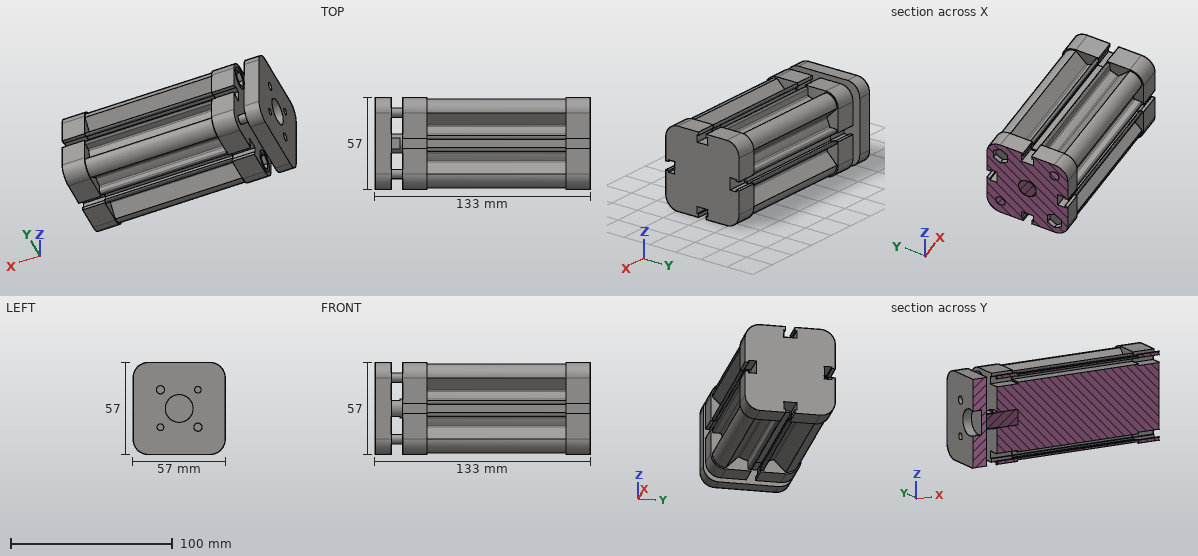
import cadquery as cq
import math

LENGTH = 133.0
WIDTH = 57.0
CORNER_RADIUS = 9.6
PLATE_THICKNESS = 10.1
CAP_LENGTH = 15.0
PLATE_GAP = 6.9
FRONT_CAP_X = PLATE_THICKNESS + PLATE_GAP
PROFILE_X = FRONT_CAP_X + CAP_LENGTH
REAR_CAP_X = LENGTH - CAP_LENGTH
PROFILE_LENGTH = REAR_CAP_X - PROFILE_X
CORNER_CENTRE = WIDTH / 2 - CORNER_RADIUS

PLATE_BORE_DIAMETER = 17.2
PLATE_BORE_DEPTH = 6.1
PLATE_HOLE_OFFSET = 11.6
LARGE_HOLE_DIAMETER = 5.0
SMALL_HOLE_DIAMETER = 4.1

ROD_LENGTH = PROFILE_X - PLATE_THICKNESS
PISTON_ROD_DIAMETER = 12.0
FLAT_WIDTH = 10.0
FLAT_LENGTH = 5.2
GUIDE_ROD_DIAMETER = 6.0

PROFILE_WIDTH = 55.0
LOBE_RADIUS = PROFILE_WIDTH / 2 - CORNER_CENTRE
BARREL_RADIUS = 22.5
PROFILE_FILLET = 0.9
RAIL_WIDTH = 10.1
RAIL_MOUTH_WIDTH = 5.2
RAIL_MOUTH_FILLET = 0.5
RAIL_SLOT_WIDTH = 7.3
RAIL_LIP_DEPTH = 1.5
RAIL_SLOT_DEPTH = 5.0

SLOT_MOUTH_WIDTH = 6.0
SLOT_WIDTH = 8.2
SLOT_LIP_DEPTH = 2.3
SLOT_DEPTH = 7.0

SCREW_HEAD_DIAMETER = 14.4
SCREW_HEAD_SINK = 0.1
SOCKET_ACROSS_FLATS = 9.6
SOCKET_DEPTH = 6.1

GUIDE_CORNERS = [(-1, 1), (1, -1)]
SCREW_CORNERS = [(1, 1), (-1, -1)]
SIDE_ANGLES = [0, 90, 180, 270]
AXIS_START = (0, 0, 0)
AXIS_END = (1, 0, 0)
TOLERANCE = 0.01


def section_plane(x):
    """Sketch plane across the cylinder axis: local axes are Y and Z, extrusion runs to +X."""
    return cq.Workplane("YZ", origin=(x, 0, 0))


def at_corners(corners, offset):
    return [(y_sign * offset, z_sign * offset) for y_sign, z_sign in corners]


def around_axis(shape):
    """Copies of one shape on all four sides of the cylinder."""
    copies = [shape.rotate(AXIS_START, AXIS_END, angle) for angle in SIDE_ANGLES]
    group = copies[0]
    for copy in copies[1:]:
        group = group.union(copy)
    return group


def rounded_block(x, length):
    return section_plane(x).rect(WIDTH, WIDTH).extrude(length).edges("|X").fillet(CORNER_RADIUS)


def slab(x, length, width, bottom, top):
    """Block on the +Z side between two heights, centred on Y = 0."""
    middle = (bottom + top) / 2
    return section_plane(x).center(0, middle).rect(width, top - bottom).extrude(length)


def rods(x, length, diameter, points):
    """Cylinders parallel to X, one at each (Y, Z) point."""
    return section_plane(x).pushPoints(points).circle(diameter / 2).extrude(length)


def make_end_plate():
    plate = rounded_block(0, PLATE_THICKNESS)
    bore = rods(0, PLATE_BORE_DEPTH, PLATE_BORE_DIAMETER, [(0, 0)])
    large_points = at_corners(SCREW_CORNERS, PLATE_HOLE_OFFSET)
    large_holes = rods(0, PLATE_THICKNESS, LARGE_HOLE_DIAMETER, large_points)
    small_points = at_corners(GUIDE_CORNERS, PLATE_HOLE_OFFSET)
    small_holes = rods(0, PLATE_THICKNESS, SMALL_HOLE_DIAMETER, small_points)
    return plate.cut(bore).cut(large_holes).cut(small_holes)


def make_lobe():
    """Diagonal strut out to one corner, closed by a quarter-circle end."""
    edge = PROFILE_WIDTH / 2
    arc_middle = CORNER_CENTRE + LOBE_RADIUS * math.sqrt(0.5)
    return (
        section_plane(PROFILE_X)
        .moveTo(0, LOBE_RADIUS)
        .lineTo(CORNER_CENTRE, edge)
        .threePointArc((arc_middle, arc_middle), (edge, CORNER_CENTRE))
        .lineTo(LOBE_RADIUS, 0)
        .close()
        .extrude(PROFILE_LENGTH)
    )


def make_rail():
    """Bar along the +Z side that carries a sensor slot."""
    rail = slab(PROFILE_X, PROFILE_LENGTH, RAIL_WIDTH, 0, PROFILE_WIDTH / 2)
    return rail.edges("|X and >Z").fillet(PROFILE_FILLET)


def t_slot(x, length, top, depth, lip_depth, mouth_width, inner_width):
    """Cutters for the T-slots in all four sides; the lips overhang a wider channel."""
    mouth = slab(x, length, mouth_width, top - depth, top)
    channel = slab(x, length, inner_width, top - depth, top - lip_depth)
    return around_axis(mouth.union(channel))


def lies_on_barrel(edge):
    centre = edge.Center()
    return math.isclose(math.hypot(centre.y, centre.z), BARREL_RADIUS, abs_tol=TOLERANCE)


def lies_on_rail_mouth(edge):
    across, outward = sorted([abs(edge.Center().y), abs(edge.Center().z)])
    on_wall = math.isclose(across, RAIL_MOUTH_WIDTH / 2, abs_tol=TOLERANCE)
    return on_wall and math.isclose(outward, PROFILE_WIDTH / 2, abs_tol=TOLERANCE)


def make_profile():
    profile = section_plane(PROFILE_X).circle(BARREL_RADIUS).extrude(PROFILE_LENGTH)
    profile = profile.union(around_axis(make_lobe())).union(around_axis(make_rail())).clean()
    profile = profile.edges("|X").filter(lies_on_barrel).fillet(PROFILE_FILLET)
    slots = t_slot(
        PROFILE_X,
        PROFILE_LENGTH,
        PROFILE_WIDTH / 2,
        RAIL_SLOT_DEPTH,
        RAIL_LIP_DEPTH,
        RAIL_MOUTH_WIDTH,
        RAIL_SLOT_WIDTH,
    )
    return profile.cut(slots).edges("|X").filter(lies_on_rail_mouth).fillet(RAIL_MOUTH_FILLET)


def make_cap(x):
    slots = t_slot(x, CAP_LENGTH, WIDTH / 2, SLOT_DEPTH, SLOT_LIP_DEPTH, SLOT_MOUTH_WIDTH, SLOT_WIDTH)
    return rounded_block(x, CAP_LENGTH).cut(slots)


def make_screw_recesses():
    """Shallow round seats with a hexagon socket in each; two flats of the hexagon face +-Y."""
    points = at_corners(SCREW_CORNERS, CORNER_CENTRE)
    recesses = rods(FRONT_CAP_X, SCREW_HEAD_SINK, SCREW_HEAD_DIAMETER, points)
    across_corners = SOCKET_ACROSS_FLATS / math.cos(math.pi / 6)
    for y, z in points:
        plane = section_plane(FRONT_CAP_X).center(y, z).transformed(rotate=(0, 0, 90))
        recesses = recesses.union(plane.polygon(6, across_corners).extrude(SOCKET_DEPTH))
    return recesses


def make_guide_rod(point):
    return rods(PLATE_THICKNESS, ROD_LENGTH, GUIDE_ROD_DIAMETER, [point])


def make_piston_rod():
    """Round rod with two wrench flats, facing +Z and -Z, next to the end plate."""
    rod = rods(PLATE_THICKNESS, ROD_LENGTH, PISTON_ROD_DIAMETER, [(0, 0)])
    flat_cut = slab(PLATE_THICKNESS, FLAT_LENGTH, PISTON_ROD_DIAMETER, FLAT_WIDTH / 2, PISTON_ROD_DIAMETER)
    opposite_cut = flat_cut.rotate(AXIS_START, AXIS_END, 180)
    return rod.cut(flat_cut).cut(opposite_cut)


def make_housing(inner_rods):
    """Caps and profile in one piece, with a matching blind hole for each rod."""
    housing = make_cap(FRONT_CAP_X).union(make_profile()).union(make_cap(REAR_CAP_X))
    housing = housing.cut(make_screw_recesses())
    for rod in inner_rods:
        housing = housing.cut(rod)
    return housing


end_plate = make_end_plate()
piston_rod = make_piston_rod()
guide_rods = [make_guide_rod(point) for point in at_corners(GUIDE_CORNERS, CORNER_CENTRE)]
housing = make_housing([piston_rod, *guide_rods])

result = cq.Compound.makeCompound(
    [end_plate.val(), housing.val(), piston_rod.val(), *[rod.val() for rod in guide_rods]]
)